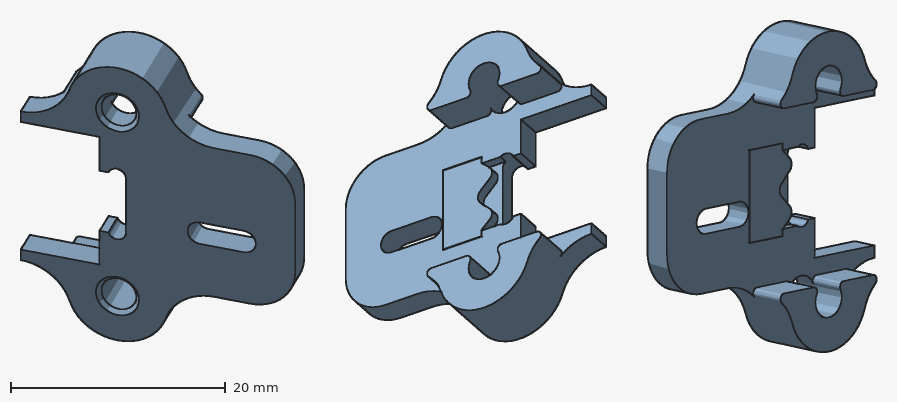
import cadquery as cq
import math

plate_length = 26.97
plate_thickness = 2.62
plate_half_height = 8.32
corner_radius = 4.42

total_height = 30.48
total_depth = 6.25
ear_x = 9.5
ear_z = 10.27
ear_radius = total_height / 2 - ear_z
blend_run = ear_x
blend_rise = ear_z - plate_half_height
blend_radius = (blend_run**2 + blend_rise**2 - ear_radius**2) / (2 * (ear_radius + blend_rise))
blend_z = plate_half_height + blend_radius
hole_diameter = 3.4
countersink_diameter = 4.25

boss_inner_z = 8.8
boss_tip_radius = 0.5

opening_half_height = 7.13
opening_depth = 7.75
notch_half_height = 3.35
notch_depth = 10.33
relief_radius = 0.88
relief_x = notch_depth - relief_radius
relief_z = 3.05

slot_length = 6.7
slot_height = 2.38
slot_x = 19.75
slot_z = -1.5

insert_front_y = 1.68
insert_back_y = 2.7
insert_left_x = 12.0
insert_right_x = 16.28
insert_half_height = 4.42
tooth_x = 11.7
tooth_z = 2.3
tooth_radius = 0.85
valley_half_width = 0.65
pocket_left_x = 9.27
pocket_half_height = 3.75


def box(x_range, y_range, z_range):
    """Axis-aligned box between pairs of limits."""
    sizes = [limits[1] - limits[0] for limits in (x_range, y_range, z_range)]
    corner = (x_range[0], y_range[0], z_range[0])
    return cq.Workplane("XY").box(*sizes, centered=False).translate(corner)


def cylinder(x, z, radius, y_start, y_end):
    """Cylinder along Y."""
    axis_start = cq.Vector(x, y_start, z)
    return cq.Workplane(cq.Solid.makeCylinder(radius, y_end - y_start, axis_start, cq.Vector(0, 1, 0)))


def extrude_along_y(outline, y_start, y_end):
    """Extrude a closed XZ outline between two Y levels."""
    return outline.extrude(-(y_end - y_start)).translate((0, y_start, 0))


def outer_body(depth):
    """Full outer silhouette, extruded from the front face."""
    reach = ear_radius / (ear_radius + blend_radius)
    join_dx = blend_run * reach
    join_z = ear_z + (blend_z - ear_z) * reach
    blend_mid_angle = (math.pi / 2 + math.atan2(blend_z - join_z, blend_run - join_dx)) / 2
    mid_dx = blend_run - blend_radius * math.cos(blend_mid_angle)
    mid_z = blend_z - blend_radius * math.sin(blend_mid_angle)
    left_end_x = ear_x - blend_run
    right_end_x = ear_x + blend_run
    outline = (
        cq.Workplane("XZ")
        .moveTo(left_end_x, -plate_half_height)
        .lineTo(left_end_x, plate_half_height)
        .threePointArc((ear_x - mid_dx, mid_z), (ear_x - join_dx, join_z))
        .threePointArc((ear_x, total_height / 2), (ear_x + join_dx, join_z))
        .threePointArc((ear_x + mid_dx, mid_z), (right_end_x, plate_half_height))
        .lineTo(plate_length, plate_half_height)
        .lineTo(plate_length, -plate_half_height)
        .lineTo(right_end_x, -plate_half_height)
        .threePointArc((ear_x + mid_dx, -mid_z), (ear_x + join_dx, -join_z))
        .threePointArc((ear_x, -total_height / 2), (ear_x - join_dx, -join_z))
        .threePointArc((ear_x - mid_dx, -mid_z), (left_end_x, -plate_half_height))
        .close()
    )
    body = extrude_along_y(outline, 0, depth)
    return body.edges("|Y and >X").fillet(corner_radius)


def make_boss(side):
    """Boss on one ear: its flat inner face is broken by the screw hole, and all its tips are rounded."""
    z_limits = sorted((side * boss_inner_z, side * total_height))
    boss = outer_body(total_depth).intersect(box((0, plate_length), (plate_thickness, total_depth), z_limits))
    boss = boss.cut(cylinder(ear_x, side * ear_z, hole_diameter / 2, 0, total_depth))
    inner_face = "<Z" if side > 0 else ">Z"
    return boss.faces(inner_face).edges("|Y").fillet(boss_tip_radius)


def cut_screw_hole(body, side):
    """Through hole with a front countersink."""
    z = side * ear_z
    sink_depth = (countersink_diameter - hole_diameter) / 2
    sink = cq.Workplane(
        cq.Solid.makeCone(
            countersink_diameter / 2, hole_diameter / 2, sink_depth, cq.Vector(ear_x, 0, z), cq.Vector(0, 1, 0)
        )
    )
    bore = cylinder(ear_x, z, hole_diameter / 2, 0, total_depth)
    return body.cut(bore).cut(sink)


def cut_opening(body):
    """Stepped opening with round reliefs in the inner corners."""
    through = (0, plate_thickness)
    body = body.cut(box((0, opening_depth), through, (-opening_half_height, opening_half_height)))
    body = body.cut(box((0, notch_depth), through, (-relief_z, relief_z)))
    body = body.cut(box((0, relief_x), through, (-notch_half_height, notch_half_height)))
    for side in (-1, 1):
        body = body.cut(cylinder(relief_x, side * relief_z, relief_radius, *through))
    return body


def cut_slot(body):
    """Round-ended slot through the plate."""
    outline = cq.Workplane("XZ").center(slot_x, slot_z).slot2D(slot_length, slot_height)
    return body.cut(extrude_along_y(outline, 0, plate_thickness))


def make_insert():
    """Block whose left side has two rounded teeth with a rounded valley between them."""
    tangent = tooth_radius * math.sqrt(0.5)
    flank_x = tooth_x - tangent
    inner_z = tooth_z - tangent
    outer_z = tooth_z + tangent
    tip_x = tooth_x - tooth_radius
    valley_x = flank_x + inner_z - valley_half_width
    valley_bottom_x = valley_x + valley_half_width * math.tan(math.pi / 8)
    outline = (
        cq.Workplane("XZ")
        .moveTo(insert_right_x, -insert_half_height)
        .lineTo(insert_left_x, -insert_half_height)
        .lineTo(insert_left_x, -pocket_half_height)
        .lineTo(flank_x, -outer_z)
        .threePointArc((tip_x, -tooth_z), (flank_x, -inner_z))
        .lineTo(valley_x, -valley_half_width)
        .threePointArc((valley_bottom_x, 0), (valley_x, valley_half_width))
        .lineTo(flank_x, inner_z)
        .threePointArc((tip_x, tooth_z), (flank_x, outer_z))
        .lineTo(insert_left_x, pocket_half_height)
        .lineTo(insert_left_x, insert_half_height)
        .lineTo(insert_right_x, insert_half_height)
        .close()
    )
    return extrude_along_y(outline, insert_front_y, insert_back_y)


def cut_insert_recess(body):
    """Rear recess: a seat for the insert and open space in front of its teeth."""
    recess_y = (insert_front_y, plate_thickness)
    seat = box((insert_left_x, insert_right_x), recess_y, (-insert_half_height, insert_half_height))
    pocket = box((pocket_left_x, insert_left_x), recess_y, (-pocket_half_height, pocket_half_height))
    return body.cut(seat).cut(pocket)


def make_bracket():
    """Plate with bosses, screw holes, opening, slot and insert recess."""
    body = outer_body(plate_thickness)
    for side in (-1, 1):
        body = body.union(make_boss(side))
        body = cut_screw_hole(body, side)
    body = cut_opening(body)
    body = cut_slot(body)
    return cut_insert_recess(body)


bracket = make_bracket()
insert = make_insert()

result = cq.Compound.makeCompound([bracket.val(), insert.val()])